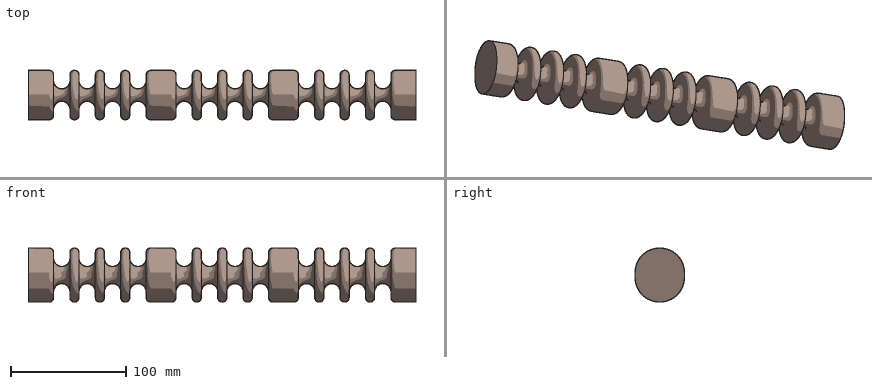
import cadquery as cq
import math

overall_length = 336.0
groove_width = 14.0
ridge_width = 8.0
collar_width = 26.0
ridges_per_group = 3
group_count = 3

outer_radius = 21.5
neck_radius = 5.5
band_height = 4.0

groove_radius = groove_width / 2
edge_radius = ridge_width / 2

ridge_group = [ridge_width] * ridges_per_group
land_widths = ridge_group + ([collar_width] + ridge_group) * (group_count - 1)
grooved_length = sum(land_widths) + (len(land_widths) + 1) * groove_width
cap_length = (overall_length - grooved_length) / 2
bar_end = overall_length / 2

groove_wall_bottom = neck_radius + groove_radius
groove_wall_top = outer_radius - edge_radius
round_inset = edge_radius * (1 - math.sqrt(0.5))


def add_edge_down(outline, wall):
    """Round from the outer surface down into a groove wall at x = wall."""
    middle = (wall - round_inset, outer_radius - round_inset)
    return outline.threePointArc(middle, (wall, groove_wall_top))


def add_edge_up(outline, wall):
    """Round from a groove wall at x = wall up onto the outer surface."""
    middle = (wall + round_inset, outer_radius - round_inset)
    return outline.threePointArc(middle, (wall + edge_radius, outer_radius))


def add_groove(outline, start):
    """U-shaped groove with a semicircular bottom and both of its rounded upper edges."""
    end = start + groove_width
    outline = add_edge_down(outline, start)
    outline = outline.lineTo(start, groove_wall_bottom)
    outline = outline.threePointArc((start + groove_radius, neck_radius), (end, groove_wall_bottom))
    outline = outline.lineTo(end, groove_wall_top)
    return add_edge_up(outline, end)


def half_profile():
    """Closed outline between the X axis and the outer surface, from one end of the bar to the other."""
    first_groove = cap_length - bar_end
    outline = cq.Workplane("XY").moveTo(-bar_end, 0).lineTo(-bar_end, outer_radius)
    outline = outline.lineTo(first_groove - edge_radius, outer_radius)
    outline = add_groove(outline, first_groove)
    land_start = first_groove + groove_width
    for land_width in land_widths:
        next_groove = land_start + land_width
        if land_width > ridge_width:
            outline = outline.lineTo(next_groove - edge_radius, outer_radius)
        outline = add_groove(outline, next_groove)
        land_start = next_groove + groove_width
    return outline.lineTo(bar_end, outer_radius).lineTo(bar_end, 0).close()


def make_grooved_bar():
    """Flat-sided band between two half-round shells, fused into one solid."""
    half_band = half_profile().extrude(band_height / 2, both=True)
    band = half_band.union(half_band.mirror("XZ"))
    upper_half = half_profile().revolve(180, (0, 0, 0), (1, 0, 0)).translate((0, 0, band_height / 2))
    lower_half = upper_half.mirror("XY")
    return band.union(upper_half).union(lower_half)


grooved_bar = make_grooved_bar()
result = cq.Compound.makeCompound([grooved_bar.val()])